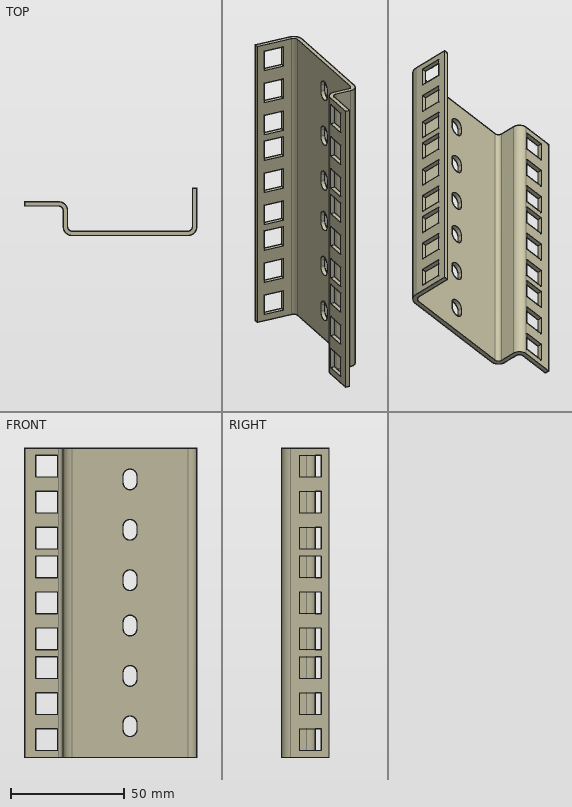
import cadquery as cq

WIDTH = 76.0
DEPTH = 21.0
LENGTH = 136.5

SHEET = 2.0
INNER_RADIUS = 2.0
OUTER_RADIUS = INNER_RADIUS + SHEET

STEP_X = 17.0
FLANGE_BACK_Y = 15.0

RACK_UNIT = 44.45
UNIT_COUNT = 3
HOLE_PITCH = 15.875
SQUARE = 9.5
FLANGE_HOLE_X = 9.75
SIDE_HOLE_Y = 12.75

SLOT_X = 46.5
SLOT_WIDTH = 6.0
SLOT_LENGTH = 9.0
SLOT_PITCH = RACK_UNIT / 2
SLOTS_PER_HALF = 3
FIRST_SLOT_OFFSET = 10.0

MID_Z = LENGTH / 2


def bend(body, x, y, radius):
    """Round the upright edge that passes through (x, y)."""
    edge = cq.selectors.NearestToPointSelector((x, y, MID_Z))
    return body.edges("|Z").edges(edge).fillet(radius)


def make_rail():
    """Bent sheet, with its main face on Y = 0 and its length along Z."""
    step_inside_x = STEP_X + SHEET
    side_inside_x = WIDTH - SHEET
    flange_front_y = FLANGE_BACK_Y - SHEET
    body = (
        cq.Workplane("XY")
        .moveTo(0, flange_front_y)
        .lineTo(STEP_X, flange_front_y)
        .lineTo(STEP_X, 0)
        .lineTo(WIDTH, 0)
        .lineTo(WIDTH, DEPTH)
        .lineTo(side_inside_x, DEPTH)
        .lineTo(side_inside_x, SHEET)
        .lineTo(step_inside_x, SHEET)
        .lineTo(step_inside_x, FLANGE_BACK_Y)
        .lineTo(0, FLANGE_BACK_Y)
        .close()
        .extrude(LENGTH)
    )
    inner_corners = [(STEP_X, flange_front_y), (step_inside_x, SHEET), (side_inside_x, SHEET)]
    outer_corners = [(step_inside_x, FLANGE_BACK_Y), (STEP_X, 0), (WIDTH, 0)]
    for x, y in inner_corners:
        body = bend(body, x, y, INNER_RADIUS)
    for x, y in outer_corners:
        body = bend(body, x, y, OUTER_RADIUS)
    return body


def square_hole_heights():
    """Z of each square hole: three in every rack unit, centred on the length."""
    heights = []
    for unit in range(UNIT_COUNT):
        unit_z = MID_Z + (unit - (UNIT_COUNT - 1) / 2) * RACK_UNIT
        heights += [unit_z - HOLE_PITCH, unit_z, unit_z + HOLE_PITCH]
    return heights


def slot_heights():
    """Z of each slot, in two rows mirrored about mid length."""
    heights = []
    for index in range(SLOTS_PER_HALF):
        offset = FIRST_SLOT_OFFSET + index * SLOT_PITCH
        heights += [MID_Z - offset, MID_Z + offset]
    return heights


def square_cutters(x, y):
    """Cubes at (x, y) that cut the square holes through one flange."""
    points = [(x, y, z) for z in square_hole_heights()]
    return cq.Workplane("XY").pushPoints(points).box(SQUARE, SQUARE, SQUARE)


def slot_cutters():
    """Upright slots through the main face."""
    points = [(SLOT_X, z) for z in slot_heights()]
    return (
        cq.Workplane("XZ")
        .pushPoints(points)
        .slot2D(SLOT_LENGTH, SLOT_WIDTH, 90)
        .extrude(-SHEET)
    )


result = (
    make_rail()
    .cut(square_cutters(FLANGE_HOLE_X, FLANGE_BACK_Y - SHEET / 2))
    .cut(square_cutters(WIDTH - SHEET / 2, SIDE_HOLE_Y))
    .cut(slot_cutters())
)